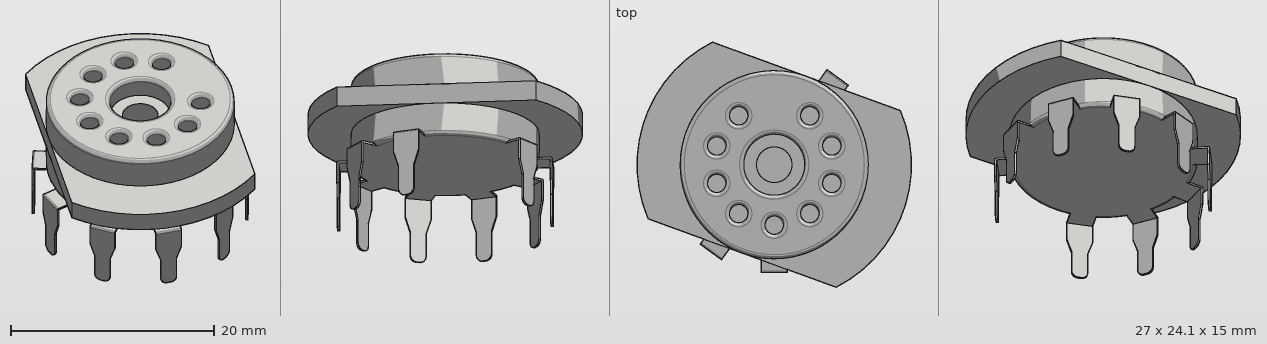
import cadquery as cq
import math


BODY_DIAMETER = 18.5
BODY_HEIGHT = 8.5
EDGE_FILLET = 0.4

FLANGE_DIAMETER = 27.0
FLANGE_THICKNESS = 2.0
FLANGE_ANGLE = -20.0
FLANGE_BOTTOM = (BODY_HEIGHT - FLANGE_THICKNESS) / 2

CENTRE_BORE_DIAMETER = 6.0
CENTRE_BORE_DEPTH = 2.125
CENTRE_HOLE_DIAMETER = 3.5
CENTRE_HOLE_DEPTH = 6.0

PIN_POSITIONS = 10
PIN_PITCH_ANGLE = 360.0 / PIN_POSITIONS
EMPTY_POSITION_ANGLE = 90.0
PIN_CIRCLE_DIAMETER = 11.89
PIN_HOLE_DIAMETER = 1.8
PIN_HOLE_DEPTH = 6.0

MOUTH_RADIUS = 0.4

TERMINAL_THICKNESS = 0.2
TERMINAL_WIDTH = 2.6
TERMINAL_REACH = 10.61
TERMINAL_ROOT_RADIUS = PIN_CIRCLE_DIAMETER / 2
TERMINAL_LENGTH = 6.5
TERMINAL_BEND_RADIUS = 0.15
TAPER_START = 2.0
TAPER_END = 3.5
TIP_WIDTH = 1.6
TIP_CORNER_RADIUS = 0.65


def make_body():
    body = cq.Workplane("XY").circle(BODY_DIAMETER / 2).extrude(BODY_HEIGHT)
    return body.edges("%CIRCLE").fillet(EDGE_FILLET)


def make_flange():
    disc = cq.Workplane("XY").circle(FLANGE_DIAMETER / 2).extrude(FLANGE_THICKNESS)
    strip = cq.Workplane("XY").rect(FLANGE_DIAMETER, BODY_DIAMETER).extrude(FLANGE_THICKNESS)
    flange = disc.intersect(strip)
    return flange.rotate((0, 0, 0), (0, 0, 1), FLANGE_ANGLE).translate((0, 0, FLANGE_BOTTOM))


def round_mouthed_hole(diameter, depth):
    """Cutter for a blind hole from the body top, its mouth flaring out in a quarter round."""
    radius = diameter / 2
    floor = BODY_HEIGHT - depth
    flare_start = BODY_HEIGHT - MOUTH_RADIUS
    mouth_edge = radius + MOUTH_RADIUS
    arc_offset = MOUTH_RADIUS * math.sqrt(0.5)
    profile = (
        cq.Workplane("XZ")
        .moveTo(0, floor)
        .lineTo(radius, floor)
        .lineTo(radius, flare_start)
        .threePointArc((mouth_edge - arc_offset, flare_start + arc_offset), (mouth_edge, BODY_HEIGHT))
        .lineTo(0, BODY_HEIGHT)
        .close()
    )
    return profile.revolve(360, (0, 0, 0), (0, 1, 0))


def make_centre_hole():
    bore = round_mouthed_hole(CENTRE_BORE_DIAMETER, CENTRE_BORE_DEPTH)
    floor = BODY_HEIGHT - CENTRE_HOLE_DEPTH
    hole_length = CENTRE_HOLE_DEPTH - CENTRE_BORE_DEPTH
    hole = cq.Workplane("XY").workplane(offset=floor).circle(CENTRE_HOLE_DIAMETER / 2).extrude(hole_length)
    return bore.union(hole)


def make_terminal():
    """Terminal along +X: a flat tab flush with the body underside, bent down into a tapered leg."""
    tab_length = TERMINAL_REACH - TERMINAL_ROOT_RADIUS
    bent_strip = (
        cq.Workplane("XZ")
        .moveTo(TERMINAL_ROOT_RADIUS, 0)
        .lineTo(TERMINAL_ROOT_RADIUS, TERMINAL_THICKNESS)
        .lineTo(TERMINAL_REACH, TERMINAL_THICKNESS)
        .lineTo(TERMINAL_REACH, -TERMINAL_LENGTH)
        .lineTo(TERMINAL_REACH - TERMINAL_THICKNESS, -TERMINAL_LENGTH)
        .lineTo(TERMINAL_REACH - TERMINAL_THICKNESS, 0)
        .close()
        .extrude(TERMINAL_WIDTH / 2, both=True)
        .edges("|Y and >X and >Z")
        .fillet(TERMINAL_BEND_RADIUS)
    )
    half_width = TERMINAL_WIDTH / 2
    half_tip = TIP_WIDTH / 2
    face_outline = (
        cq.Workplane("YZ")
        .workplane(offset=TERMINAL_ROOT_RADIUS)
        .moveTo(-half_width, TERMINAL_THICKNESS)
        .lineTo(-half_width, -TAPER_START)
        .lineTo(-half_tip, -TAPER_END)
        .lineTo(-half_tip, -TERMINAL_LENGTH)
        .lineTo(half_tip, -TERMINAL_LENGTH)
        .lineTo(half_tip, -TAPER_END)
        .lineTo(half_width, -TAPER_START)
        .lineTo(half_width, TERMINAL_THICKNESS)
        .close()
        .extrude(tab_length)
        .faces("<Z")
        .edges("|X")
        .fillet(TIP_CORNER_RADIUS)
    )
    return bent_strip.intersect(face_outline)


socket = make_body().union(make_flange())
socket = socket.cut(make_centre_hole())

terminal = make_terminal()
pin_hole = round_mouthed_hole(PIN_HOLE_DIAMETER, PIN_HOLE_DEPTH).translate((PIN_CIRCLE_DIAMETER / 2, 0, 0))
for position in range(1, PIN_POSITIONS):
    angle = EMPTY_POSITION_ANGLE + position * PIN_PITCH_ANGLE
    socket = socket.union(terminal.rotate((0, 0, 0), (0, 0, 1), angle))
    socket = socket.cut(pin_hole.rotate((0, 0, 0), (0, 0, 1), angle))

result = socket